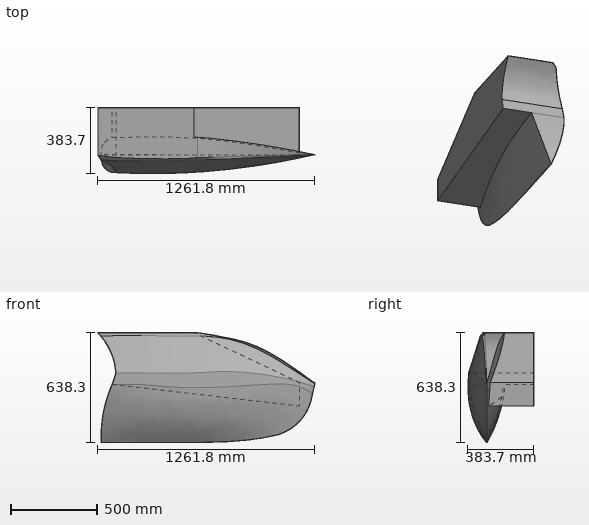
import cadquery as cq

LENGTH = 1261.79
BREADTH = 383.6
HEIGHT = 638.29

HULL_HALF_BREADTH = 109.6
HULL_CENTRE_Y = HULL_HALF_BREADTH - BREADTH
JOIN_TOLERANCE = 0.02
BOW_TIP_Z = 345.0
BOW_CHINE_X = 1248.0
BOW_CHINE_Z = 285.0
SHEER_BREAK_X = 581.0
TRIM = 2.0
STATION_COUNT = 12

KNUCKLE_Z = 404.0
CHINE_Z = 338.0
TRANSOM_KNUCKLE_X = 105.0
TRANSOM_CHINE_X = 83.0
TRANSOM_FOOT_X = 19.0
UPPER_HOLLOW = (86, 500)
LOWER_CURVE = (37, 201)

DECK_BREAK_X = 558.0
BRIDGE_FRONT_X = 1171.0
BRIDGE_FRONT_TOP_Z = 349.0
BRIDGE_FRONT_BOTTOM_Z = 212.0


def stem_point(drop):
    """Point on the straight upper stem, the given height below the bow tip."""
    rake = (LENGTH - BOW_CHINE_X) / (BOW_TIP_Z - BOW_CHINE_Z)
    return (LENGTH - drop * rake, 0, BOW_TIP_Z - drop)


DECK_INNER_LINE = [
    (0, 109, HEIGHT + TRIM),
    (300, 108, HEIGHT + TRIM),
    (SHEER_BREAK_X, 102, HEIGHT),
    (711, 90, 617),
    (878, 69, 577),
    (1068, 38, 480),
    stem_point(1),
]
DECK_OUTER_LINE = [
    (0, 0, HEIGHT + TRIM),
    (95, -13, HEIGHT + TRIM),
    (250, -19, HEIGHT + TRIM),
    (SHEER_BREAK_X, -16, HEIGHT),
    (711, -12, 613),
    (878, -8, 569),
    (1068, -3, 470),
    stem_point(0),
]
BEVEL_LINE = [
    (0, -28, 618),
    (179, -37, 622),
    (440, -33, 619),
    (711, -26, 610),
    (878, -18, 565),
    (1068, -11, 466),
    stem_point(3),
]
KNUCKLE_LINE = [
    (0, -94, KNUCKLE_Z),
    (TRANSOM_KNUCKLE_X, -101, KNUCKLE_Z),
    (320, -106, KNUCKLE_Z),
    (550, -99, KNUCKLE_Z),
    (711, -87, 413),
    (935, -59, 400),
    stem_point(20),
]
CHINE_LINE = [
    (0, -99, CHINE_Z),
    (TRANSOM_CHINE_X, -103, CHINE_Z),
    (260, -109, 337),
    (440, -108, 322),
    (690, -92, 321),
    (935, -62, 336),
    (1153, -22, 330),
    (BOW_CHINE_X, 0, BOW_CHINE_Z),
]
BILGE_LINE = [
    (0, -45, 120),
    (400, -81, 142),
    (800, -57, 144),
    (1000, -27, 140),
    (1180, 0, 132),
]
KEEL_LINE = [
    (0, 0, -TRIM),
    (350, 0, -TRIM),
    (600, 0, 0),
    (849, 0, 12),
    (1053, 0, 47),
]
INNER_BILGE_LINE = [
    (0, 45, 120),
    (400, 66, 142),
    (800, 50, 144),
    (1000, 25, 140),
    (1180, 0, 132),
]
INNER_CHINE_LINE = [
    (0, 95, CHINE_Z),
    (300, 107, CHINE_Z),
    (SHEER_BREAK_X, 102, CHINE_Z),
    (711, 90, CHINE_Z),
    (935, 60, CHINE_Z),
    (1153, 22, 325),
    (BOW_CHINE_X, 0, BOW_CHINE_Z),
]


def long_line(points):
    """Smooth curve through the points of one long line, from transom to stem."""
    return cq.Edge.makeSpline([cq.Vector(x, HULL_CENTRE_Y + side, z) for x, side, z in points])


def loft_hull_side(corner_lines, bilge_line):
    """Loft one side of the hull, from the keel and the outer deck edge outwards.

    The stations fan forward from the transom to the raked stem, which lies in the hull's middle plane.
    """
    corner_curves = [long_line(points) for points in corner_lines]
    bilge = long_line(bilge_line)
    keel = long_line(KEEL_LINE)

    stations = []
    for number in range(STATION_COUNT):
        along = number / (STATION_COUNT - 1)
        keel_point = keel.positionAt(along)
        corners = [keel_point] + [curve.positionAt(along) for curve in corner_curves]
        edges = [cq.Edge.makeLine(start, end) for start, end in zip(corners, corners[1:])]
        edges.append(cq.Edge.makeSpline([corners[-1], bilge.positionAt(along), keel_point]))
        stations.append(cq.Wire.assembleEdges(edges))
    return cq.Workplane(cq.Solid.makeLoft(stations, False))


def make_hull():
    """Both sides of the hull, joined along the wall between the keel and the outer deck edge."""
    outboard = loft_hull_side([DECK_OUTER_LINE, BEVEL_LINE, KNUCKLE_LINE, CHINE_LINE], BILGE_LINE)
    inboard = loft_hull_side([DECK_OUTER_LINE, DECK_INNER_LINE, INNER_CHINE_LINE], INNER_BILGE_LINE)
    return outboard.union(inboard, tol=JOIN_TOLERANCE)


def make_bridge_deck():
    """Deck from the boat's middle plane to the hull, sloping down at the front."""
    return (
        cq.Workplane("XZ")
        .moveTo(0, 2 * HEIGHT)
        .lineTo(DECK_BREAK_X, 2 * HEIGHT)
        .lineTo(DECK_BREAK_X, HEIGHT)
        .lineTo(BRIDGE_FRONT_X, BRIDGE_FRONT_TOP_Z)
        .lineTo(BRIDGE_FRONT_X, BRIDGE_FRONT_BOTTOM_Z)
        .lineTo(TRANSOM_CHINE_X, CHINE_Z)
        .lineTo(0, CHINE_Z)
        .close()
        .extrude(-HULL_CENTRE_Y)
    )


def make_trim_envelope():
    """Space ahead of the hollow transom, above the keel and below the deck, across the whole breadth."""
    return (
        cq.Workplane("XZ")
        .moveTo(0, HEIGHT)
        .spline([UPPER_HOLLOW, (TRANSOM_KNUCKLE_X, KNUCKLE_Z)], includeCurrent=True)
        .lineTo(TRANSOM_CHINE_X, CHINE_Z)
        .spline([LOWER_CURVE, (TRANSOM_FOOT_X, 0)], includeCurrent=True)
        .lineTo(2 * LENGTH, 0)
        .lineTo(2 * LENGTH, HEIGHT)
        .close()
        .extrude(2 * BREADTH)
    )


result = make_hull().union(make_bridge_deck()).intersect(make_trim_envelope())